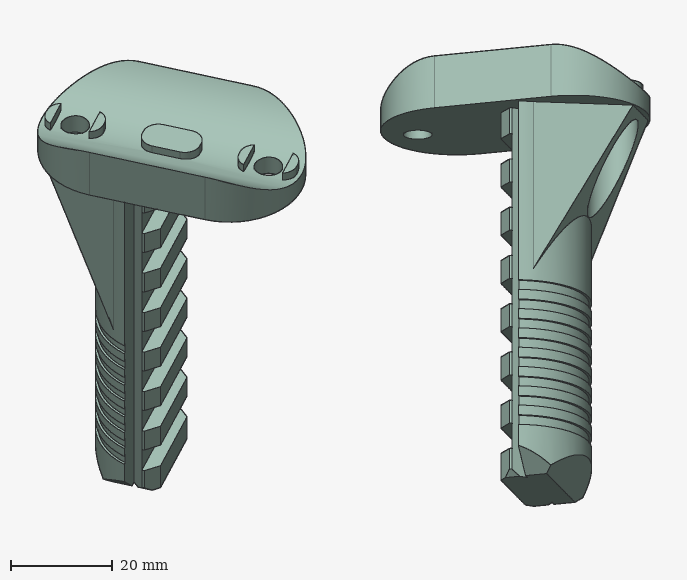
import cadquery as cq
import math

TOTAL_HEIGHT = 86.8

PLATE_LENGTH = 54.0
PLATE_WIDTH = 30.0
PLATE_BOTTOM = 76.0
END_RADIUS = PLATE_WIDTH / 2
TROUGH_RADIUS = 20.0
TROUGH_AXIS_Z = TOTAL_HEIGHT + math.sqrt(TROUGH_RADIUS**2 - END_RADIUS**2)
TROUGH_BOTTOM = TROUGH_AXIS_Z - TROUGH_RADIUS

PAD_LENGTH = 12.0
PAD_WIDTH = 7.0
PAD_CORNER_RADIUS = 3.1
PAD_TOP = TROUGH_BOTTOM + 2.0
PAD_SPLIT_WIDTH = 8.1

HOLE_OFFSET = 20.05
HOLE_DIAMETER = 5.6
SCREW_ACCESS_DIAMETER = 10.0

HANDLE_RADIUS = END_RADIUS
HANDLE_BACK_X = -5.0
TIP_HALF_WIDTH = 9.4

GROOVE_COUNT = 8
GROOVE_HEIGHT = 2.0
GROOVE_DEPTH = 0.5
GROOVE_PITCH = 2 * GROOVE_HEIGHT
FIRST_GROOVE_Z = 9.1

WEDGE_TIP_X = -25.8
WEDGE_TIP_HALF_WIDTH = SCREW_ACCESS_DIAMETER / 2
WEDGE_ROOT_X = -7.7
WEDGE_ROOT_Z = 41.5
WEDGE_ROOT_HALF_WIDTH = math.sqrt(HANDLE_RADIUS**2 - WEDGE_ROOT_X**2)

RAIL_HALF_WIDTH = 10.6
RAIL_EDGE_START_X = -2.6
RAIL_EDGE_END_X = -2.1
RAIL_FACE_X = 0.4
RAIL_NECK_HALF_WIDTH = RAIL_HALF_WIDTH - (RAIL_EDGE_START_X - HANDLE_BACK_X)
RAIL_FACE_HALF_WIDTH = RAIL_HALF_WIDTH - (RAIL_FACE_X - RAIL_EDGE_END_X)
RAIL_SLOT_COUNT = 7
RAIL_SLOT_WIDTH = 5.2
RAIL_SLOT_PITCH = 10.0
FIRST_SLOT_CENTER_Z = 8.15

OVERLAP = 0.9


def make_plate():
    blank = (
        cq.Workplane("XY", origin=(0, 0, PLATE_BOTTOM))
        .slot2D(PLATE_LENGTH, PLATE_WIDTH)
        .extrude(TOTAL_HEIGHT - PLATE_BOTTOM)
    )
    trough = (
        cq.Workplane("YZ")
        .center(0, TROUGH_AXIS_Z)
        .circle(TROUGH_RADIUS)
        .extrude(PLATE_LENGTH, both=True)
    )
    return blank.cut(trough)


def make_pad(center_x):
    pad_base = TROUGH_BOTTOM - OVERLAP
    return (
        cq.Workplane("XY", origin=(center_x, 0, pad_base))
        .rect(PAD_LENGTH, PAD_WIDTH)
        .extrude(PAD_TOP - pad_base)
        .edges("|Z")
        .fillet(PAD_CORNER_RADIUS)
    )


def make_split_pad(center_x):
    """A pad with its middle removed, leaving one end on each side of a screw hole."""
    gap = cq.Workplane("XY", origin=(center_x, 0, PAD_TOP)).box(
        PAD_SPLIT_WIDTH, 2 * PAD_WIDTH, 2 * (PAD_TOP - PLATE_BOTTOM)
    )
    return make_pad(center_x).cut(gap)


def make_handle_segment(radius, bottom_z, height):
    """A vertical length of handle: a circular segment in front of the flat back."""
    back_half_width = math.sqrt(radius**2 - HANDLE_BACK_X**2)
    return (
        cq.Workplane("XY", origin=(0, 0, bottom_z))
        .moveTo(HANDLE_BACK_X, -back_half_width)
        .threePointArc((-radius, 0), (HANDLE_BACK_X, back_half_width))
        .close()
        .extrude(height)
    )


def make_handle():
    handle = make_handle_segment(HANDLE_RADIUS, 0, PLATE_BOTTOM + OVERLAP)
    for index in range(GROOVE_COUNT):
        groove_z = FIRST_GROOVE_Z + index * GROOVE_PITCH
        full = make_handle_segment(HANDLE_RADIUS, groove_z, GROOVE_HEIGHT)
        core = make_handle_segment(HANDLE_RADIUS - GROOVE_DEPTH, groove_z, GROOVE_HEIGHT)
        handle = handle.cut(full.cut(core))
    return handle


def make_rail():
    half_profile = [
        (HANDLE_BACK_X - OVERLAP, RAIL_NECK_HALF_WIDTH),
        (HANDLE_BACK_X, RAIL_NECK_HALF_WIDTH),
        (RAIL_EDGE_START_X, RAIL_HALF_WIDTH),
        (RAIL_EDGE_END_X, RAIL_HALF_WIDTH),
        (RAIL_FACE_X, RAIL_FACE_HALF_WIDTH),
    ]
    mirrored_half = [(x, -y) for x, y in reversed(half_profile)]
    rail = (
        cq.Workplane("XY")
        .polyline(half_profile + mirrored_half)
        .close()
        .extrude(PLATE_BOTTOM + OVERLAP)
    )
    slot_depth = RAIL_FACE_X - RAIL_EDGE_START_X
    for index in range(RAIL_SLOT_COUNT):
        slot_z = FIRST_SLOT_CENTER_Z + index * RAIL_SLOT_PITCH
        slot = cq.Workplane("XY", origin=(RAIL_EDGE_START_X, 0, slot_z)).box(
            slot_depth + OVERLAP,
            2 * RAIL_HALF_WIDTH + OVERLAP,
            RAIL_SLOT_WIDTH,
            centered=(False, True, True),
        )
        rail = rail.cut(slot)
    return rail


def make_tip_envelope():
    """Pointed outline that bevels the bottom at 45 degrees on the -X and both Y sides."""
    top_half_width = TIP_HALF_WIDTH + TOTAL_HEIGHT
    return (
        cq.Workplane("XY")
        .rect(2 * TIP_HALF_WIDTH, 2 * TIP_HALF_WIDTH)
        .workplane(offset=TOTAL_HEIGHT)
        .rect(2 * top_half_width, 2 * top_half_width)
        .loft(ruled=True)
    )


def make_wedge():
    plan = (
        cq.Workplane("XY")
        .moveTo(WEDGE_TIP_X, -WEDGE_TIP_HALF_WIDTH)
        .lineTo(WEDGE_ROOT_X, -WEDGE_ROOT_HALF_WIDTH)
        .lineTo(WEDGE_ROOT_X, WEDGE_ROOT_HALF_WIDTH)
        .lineTo(WEDGE_TIP_X, WEDGE_TIP_HALF_WIDTH)
        .close()
        .extrude(PLATE_BOTTOM)
    )
    side = (
        cq.Workplane("XZ")
        .moveTo(WEDGE_TIP_X, PLATE_BOTTOM)
        .lineTo(WEDGE_ROOT_X, WEDGE_ROOT_Z)
        .lineTo(WEDGE_ROOT_X, PLATE_BOTTOM)
        .close()
        .extrude(PLATE_WIDTH, both=True)
    )
    screw_access = (
        cq.Workplane("XY")
        .center(-HOLE_OFFSET, 0)
        .circle(SCREW_ACCESS_DIAMETER / 2)
        .extrude(PLATE_BOTTOM)
    )
    return plan.intersect(side).cut(screw_access)


def make_screw_holes():
    return (
        cq.Workplane("XY", origin=(0, 0, PLATE_BOTTOM - OVERLAP))
        .pushPoints([(-HOLE_OFFSET, 0), (HOLE_OFFSET, 0)])
        .circle(HOLE_DIAMETER / 2)
        .extrude(TOTAL_HEIGHT - PLATE_BOTTOM + OVERLAP)
    )


grip = make_handle().union(make_rail()).intersect(make_tip_envelope())
body = make_plate().union(grip).union(make_wedge())
body = body.union(make_pad(0))
for pad_x in (-HOLE_OFFSET, HOLE_OFFSET):
    body = body.union(make_split_pad(pad_x))
result = body.cut(make_screw_holes())